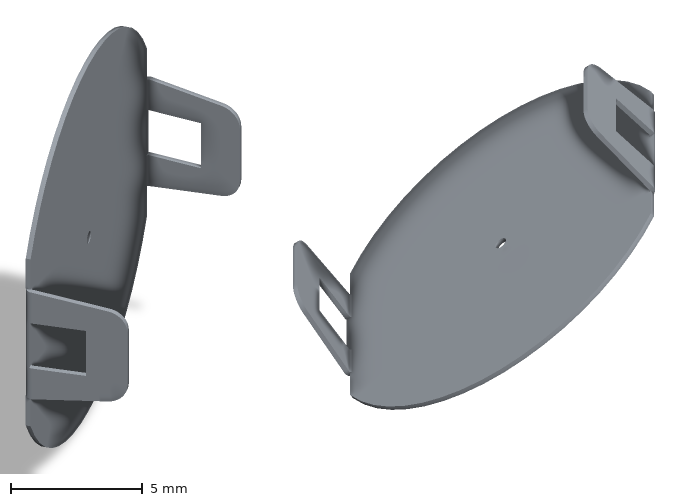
import cadquery as cq
import math

plate_diameter = 16.25
plate_width = 14.24
thickness = 0.2
centre_hole_diameter = 0.5

tab_reach = 4.0
width_over_tabs = 14.6
lean_angle = 5.0
bend_radius = 0.28
inner_bend_radius = bend_radius - thickness

root_height = 5.0
tip_height = 4.03
corner_radius = 0.86
window_height = 2.11
window_end = 2.4

lean = math.radians(lean_angle)
bend_centre_x = bend_radius
bend_centre_y = width_over_tabs / 2 - bend_radius
bend_end_x = bend_centre_x + bend_radius * math.sin(lean)


def make_plate():
    disc = cq.Workplane("YZ").circle(plate_diameter / 2).extrude(thickness)
    flats = cq.Workplane("YZ").rect(plate_width, plate_diameter).extrude(thickness)
    hole = cq.Workplane("YZ").circle(centre_hole_diameter / 2).extrude(thickness)
    plate = disc.intersect(flats).cut(hole)
    for side in (1, -1):
        relief_centre_y = side * (bend_centre_y + bend_radius)
        relief = cq.Workplane("XY").box(2 * thickness, 2 * bend_radius, root_height)
        plate = plate.cut(relief.translate((0, relief_centre_y, 0)))
    return plate


def bend_point(radius, angle):
    """Point on the bend, with the angle measured from +X towards +Y."""
    return (
        bend_centre_x + radius * math.cos(angle),
        bend_centre_y + radius * math.sin(angle),
    )


def leg_tip(bend_end):
    """Point where a sloping face of the leg reaches the tab tip."""
    return (tab_reach, bend_end[1] - (tab_reach - bend_end[0]) * math.tan(lean))


def make_bent_strip():
    start_angle = math.pi
    end_angle = math.pi / 2 - lean
    middle_angle = (start_angle + end_angle) / 2
    outer_end = bend_point(bend_radius, end_angle)
    inner_end = bend_point(inner_bend_radius, end_angle)
    return (
        cq.Workplane("XY")
        .moveTo(*bend_point(bend_radius, start_angle))
        .threePointArc(bend_point(bend_radius, middle_angle), outer_end)
        .lineTo(*leg_tip(outer_end))
        .lineTo(*leg_tip(inner_end))
        .lineTo(*inner_end)
        .threePointArc(
            bend_point(inner_bend_radius, middle_angle),
            bend_point(inner_bend_radius, start_angle),
        )
        .close()
        .extrude(root_height / 2, both=True)
    )


def make_tab():
    outline = (
        cq.Workplane("XZ")
        .polyline([
            (0, -root_height / 2),
            (bend_end_x, -root_height / 2),
            (tab_reach, -tip_height / 2),
            (tab_reach, tip_height / 2),
            (bend_end_x, root_height / 2),
            (0, root_height / 2),
        ])
        .close()
        .extrude(-width_over_tabs)
        .edges("|Y and >X")
        .fillet(corner_radius)
    )
    window = (
        cq.Workplane("XZ")
        .center((thickness + window_end) / 2, 0)
        .rect(window_end - thickness, window_height)
        .extrude(-width_over_tabs)
    )
    return make_bent_strip().intersect(outline).cut(window)


tab = make_tab()
result = make_plate().union(tab).union(tab.mirror("XZ"))